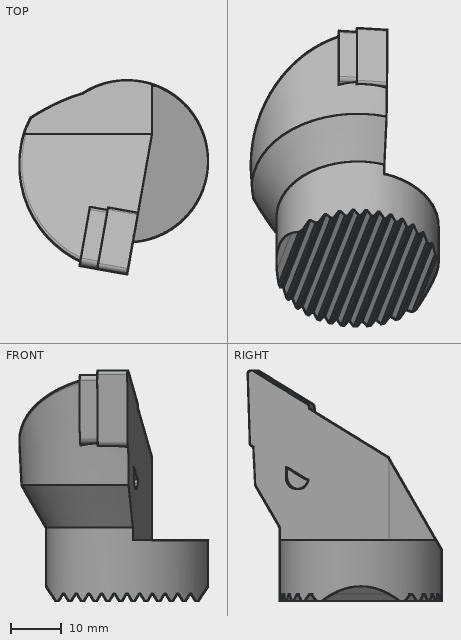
import cadquery as cq
import math

shank_radius = 16.01
neck_bottom = 14.55
neck_top = 22.9
neck_angle = 30
head_taper = 2.8
blank_height = 54.65
neck_top_radius = shank_radius + (neck_top - neck_bottom) * math.tan(math.radians(neck_angle))
taper_slope = math.tan(math.radians(head_taper))

ridge_y = 5.4
ridge_z = 28.42
roof_angle = 31.6
back_angle = 60
roof_edge_radius = 0.5
cut_reach = 68.32

gullet_floor = 12.05
wall_x = 4.95
face_turn = 10
face_offset = 3.9
turn = math.radians(face_turn)
bend_y = (wall_x * math.cos(turn) - face_offset) / math.sin(turn)

insert_thickness = 6.0
seat_thickness = 3.55
tip_reach = 22.025
front_relief = 1.8
insert_back = 9.65
seat_back = 10.15
insert_tip = 46.2
insert_foot = 30.85
insert_radius = 0.77
seat_tip = 45.5
seat_foot = 31.45
seat_radius = 1.05

pocket_radius = 2.3
pocket_center = 12.03
pocket_line = 24.4
pocket_peak = 26.65
pocket_depth = 1.35

tooth_pitch = 2.5
tooth_depth = 1.45
root_flat = 0.2
gap_width = 1.95
end_groove = 6
end_cut_height = 2.95

face_plane = cq.Plane(
    origin=(face_offset * math.cos(turn), -face_offset * math.sin(turn), 0),
    xDir=(math.sin(turn), math.cos(turn), 0),
    normal=(math.cos(turn), -math.sin(turn), 0),
)


def half_space_above(angle):
    """Large block lying above a plane through the ridge that falls towards +Y."""
    block = cq.Workplane("XY").box(2 * cut_reach, 2 * cut_reach, cut_reach, centered=(True, True, False))
    return block.rotate((0, 0, 0), (1, 0, 0), -angle).translate((0, ridge_y, ridge_z))


def make_body():
    def head_radius(z):
        return neck_top_radius + (z - neck_top) * taper_slope

    head = (
        cq.Workplane("XZ")
        .polyline([(0, 0), (head_radius(0), 0), (head_radius(blank_height), blank_height), (0, blank_height)])
        .close()
        .revolve(360, (0, 0, 0), (0, 1, 0))
        .cut(half_space_above(roof_angle))
        .faces(">Z")
        .edges()
        .fillet(roof_edge_radius)
    )
    envelope_radius = 2 * shank_radius
    envelope_z = neck_bottom + (envelope_radius - shank_radius) / math.tan(math.radians(neck_angle))
    envelope = (
        cq.Workplane("XZ")
        .polyline([
            (0, 0), (shank_radius, 0), (shank_radius, neck_bottom),
            (envelope_radius, envelope_z), (envelope_radius, blank_height), (0, blank_height),
        ])
        .close()
        .revolve(360, (0, 0, 0), (0, 1, 0))
    )
    return head.intersect(envelope).cut(half_space_above(back_angle))


def make_gullet():
    front_x = wall_x - (bend_y + cut_reach) * math.tan(turn)
    return (
        cq.Workplane("XY", origin=(0, 0, gullet_floor))
        .polyline([
            (wall_x, cut_reach), (wall_x, bend_y), (front_x, -cut_reach),
            (cut_reach, -cut_reach), (cut_reach, cut_reach),
        ])
        .close()
        .extrude(blank_height)
    )


def make_plate(depth, thickness, back, tip, foot, radius):
    """Rounded plate starting at a depth behind the cutting face, its top parallel to the roof."""
    drop = (tip_reach - back) * math.tan(math.radians(roof_angle)) * math.cos(turn)
    relief = math.tan(math.radians(front_relief))
    front_shift = (tip - foot) * relief
    return (
        cq.Workplane(face_plane)
        .workplane(offset=-depth - thickness)
        .polyline([
            (-tip_reach, tip), (front_shift - tip_reach, foot),
            (front_shift - back, foot - drop), (-back, tip - drop),
        ])
        .close()
        .extrude(thickness)
        .edges(cq.selectors.ParallelDirSelector(face_plane.zDir))
        .fillet(radius)
    )


def make_pocket():
    front = -pocket_center - pocket_radius
    rear = -pocket_center + pocket_radius
    return (
        cq.Workplane(face_plane)
        .moveTo(rear, pocket_line)
        .threePointArc((-pocket_center, pocket_line - pocket_radius), (front, pocket_line))
        .lineTo(front, pocket_peak)
        .close()
        .extrude(-pocket_depth)
    )


def cut_serrations(part):
    length = 2 * cut_reach

    def prism(points):
        return cq.Workplane("XZ").polyline(points).close().extrude(length / 2, both=True)

    for index in range(1 - end_groove, end_groove):
        x = index * tooth_pitch
        part = part.cut(prism([
            (x - gap_width / 2, 0), (x - root_flat / 2, tooth_depth),
            (x + root_flat / 2, tooth_depth), (x + gap_width / 2, 0),
        ]))
    end_x = end_groove * tooth_pitch
    for side in (-1, 1):
        part = part.cut(prism([
            (side * (end_x - gap_width / 2), 0), (side * end_x, tooth_depth),
            (side * shank_radius, end_cut_height), (side * 2 * shank_radius, end_cut_height),
            (side * 2 * shank_radius, 0),
        ]))
    return part


body = make_body().cut(make_gullet()).cut(make_pocket())
insert = make_plate(0, insert_thickness, insert_back, insert_tip, insert_foot, insert_radius)
seat = make_plate(insert_thickness, seat_thickness, seat_back, seat_tip, seat_foot, seat_radius)
result = cut_serrations(body.union(insert).union(seat))